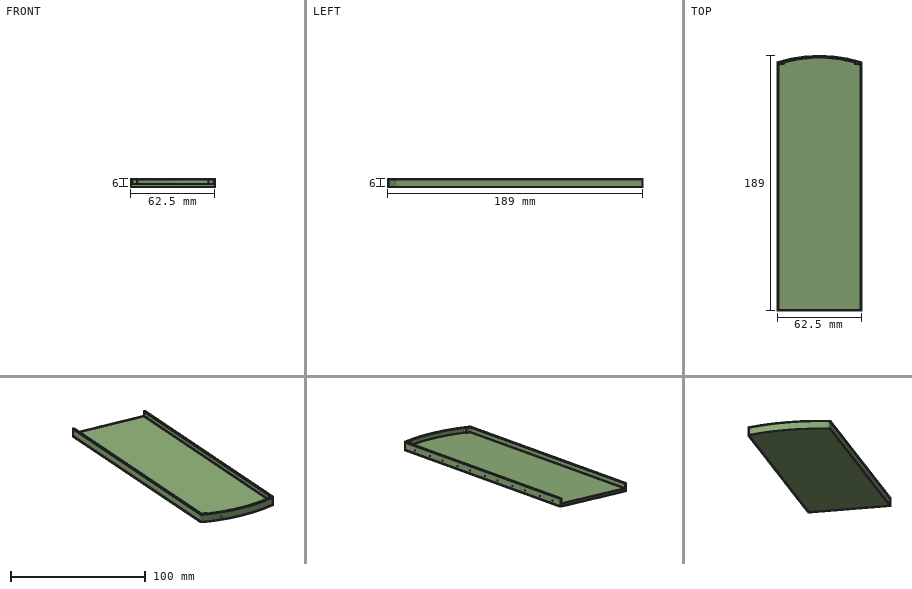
import cadquery as cq
import math

width = 62.5
length = 189.0
height = 6.0
floor_thickness = 2.3
arc_rise = 5.0
outer_corner_radius = 1.1

side_wall = 1.0
end_wall = 1.1
corner_block_width = 4.7
corner_block_depth = 1.1
recess_corner_radius = 1.0
block_fillet = 1.3

half_width = width / 2
shoulder_y = length - arc_rise
arc_radius = (half_width**2 + arc_rise**2) / (2 * arc_rise)
arc_center_y = length - arc_radius


def arc_y(x, radius):
    """Y position of the end arc at a distance x from the centerline."""
    return arc_center_y + math.sqrt(radius**2 - x**2)


def make_tray_blank():
    """Full-height plate with one bowed end and rounded shoulders."""
    return (
        cq.Workplane("XY")
        .moveTo(-half_width, 0)
        .lineTo(half_width, 0)
        .lineTo(half_width, shoulder_y)
        .threePointArc((0, length), (-half_width, shoulder_y))
        .close()
        .extrude(height)
        .edges("|Z")
        .edges(">Y")
        .fillet(outer_corner_radius)
    )


def make_recess():
    """Space inside the rim, open at the straight end, with a block left in each bowed-end corner."""
    half_recess = half_width - side_wall
    half_bow = half_width - corner_block_width
    block_y = shoulder_y - corner_block_depth
    inner_radius = arc_radius - end_wall
    bow_y = arc_y(half_bow, inner_radius)
    recess = (
        cq.Workplane("XY", origin=(0, 0, floor_thickness))
        .moveTo(-half_recess, 0)
        .lineTo(half_recess, 0)
        .lineTo(half_recess, block_y)
        .lineTo(half_bow, block_y)
        .lineTo(half_bow, bow_y)
        .threePointArc((0, length - end_wall), (-half_bow, bow_y))
        .lineTo(-half_bow, block_y)
        .lineTo(-half_recess, block_y)
        .close()
        .extrude(height - floor_thickness)
    )
    middle_z = (floor_thickness + height) / 2
    rounded_corners = (
        (half_recess, block_y, recess_corner_radius),
        (half_bow, bow_y, block_fillet),
    )
    for x, y, radius in rounded_corners:
        for side in (-1, 1):
            corner = cq.selectors.NearestToPointSelector((side * x, y, middle_z))
            recess = recess.edges("|Z").edges(corner).fillet(radius)
    return recess


result = make_tray_blank().cut(make_recess())